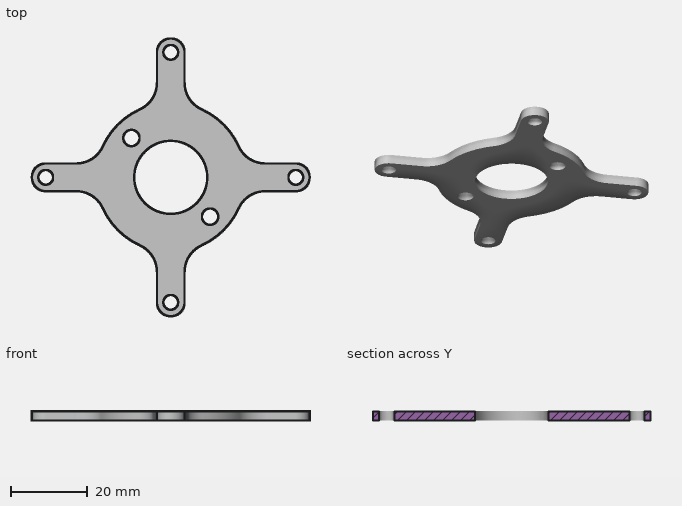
import cadquery as cq
import math

thickness = 2.5
hub_radius = 19.5
arm_count = 4
arm_hole_distance = 32.6
arm_width = 7.3
arm_root_fillet = 7.5
centre_bore_diameter = 19.0
arm_hole_diameter = 3.8
hub_hole_diameter = 4.2
hub_hole_distance = 14.5
hub_hole_angles = (135, 315)

arm_angles = [i * 360 / arm_count for i in range(arm_count)]


def polar_points(distance, angles):
    """Points at one distance from the part centre, at angles in degrees."""
    return [
        (distance * math.cos(math.radians(a)), distance * math.sin(math.radians(a)))
        for a in angles
    ]


def make_arm(angle):
    """Straight arm from the part centre to a round tip about its hole."""
    bar = (
        cq.Workplane("XY")
        .rect(arm_hole_distance, arm_width)
        .extrude(thickness)
        .translate((arm_hole_distance / 2, 0, 0))
    )
    tip = cq.Workplane("XY").center(arm_hole_distance, 0).circle(arm_width / 2).extrude(thickness)
    return bar.union(tip).rotate((0, 0, 0), (0, 0, 1), angle)


def make_body():
    """Round hub with its arms, blended where each arm side meets the hub rim."""
    body = cq.Workplane("XY").circle(hub_radius).extrude(thickness)
    for angle in arm_angles:
        body = body.union(make_arm(angle))

    root_half_angle = math.degrees(math.asin(arm_width / 2 / hub_radius))
    root_angles = [a + side * root_half_angle for a in arm_angles for side in (-1, 1)]
    roots = cq.Workplane("XY")
    for x, y in polar_points(hub_radius, root_angles):
        nearest = cq.selectors.NearestToPointSelector((x, y, thickness / 2))
        roots = roots.add(body.edges("|Z").edges(nearest))
    return cq.Workplane(body.val().fillet(arm_root_fillet, roots.vals()))


def drill(body, diameter, points):
    """Cut straight through-holes at the given points."""
    cutter = cq.Workplane("XY").pushPoints(points).circle(diameter / 2).extrude(thickness)
    return body.cut(cutter)


plate = make_body()
plate = drill(plate, centre_bore_diameter, [(0, 0)])
plate = drill(plate, arm_hole_diameter, polar_points(arm_hole_distance, arm_angles))
plate = drill(plate, hub_hole_diameter, polar_points(hub_hole_distance, hub_hole_angles))

result = plate